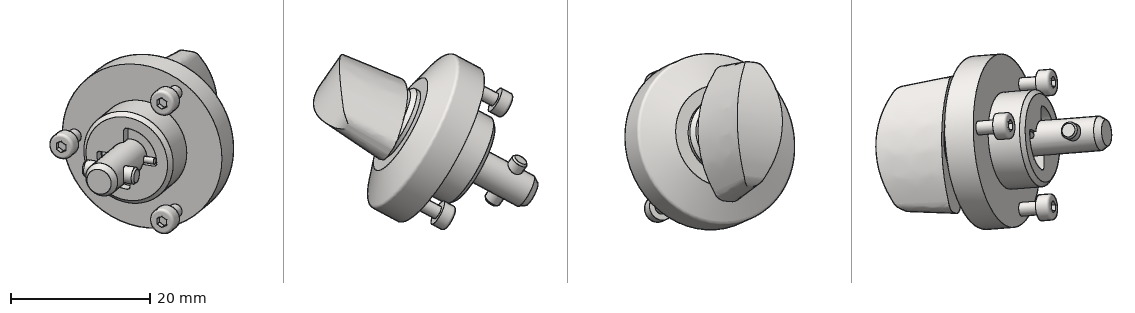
import cadquery as cq
import math


flange_radius = 25.0 / 2
flange_rim_length = 4.3
cone_small_radius = 7.5
cone_back_y = 6.5
cone_slope = 2.5
cone_edge_fillet = 0.52
collar_radius = 11.0 / 2
collar_back_y = 7.8
collar_chamfer_radial = 0.62
collar_chamfer_axial = 0.7
neck_radius = 6.1 / 2

boss_radius = 14.0 / 2
boss_length = 5.52
boss_chamfer = 0.62
pocket_radius = 4.7
pocket_overlap = 0.5
pocket_corner_radius = 0.5
pocket_depth = 1.52

shaft_radius = 5.0 / 2
shaft_tip_radius = 3.8 / 2
shaft_front_y = -15.52
shaft_tip_length = 0.95
pin_radius = 2.5 / 2
pin_half_length = 4.05
pin_y = -11.28
pin_chamfer_radial = 0.25
pin_chamfer_axial = 0.3

stop_pin_radius = 0.5
stop_pin_half_length = 4.05
stop_pin_y = pocket_depth / 2 - boss_length

screw_count = 3
screw_circle_radius = 10.52
shank_radius = 2.0 / 2
shank_length = 3.0
head_radius = 3.8 / 2
head_length = 2.0
head_fillet = 0.4
socket_flats = 1.5
socket_depth = 0.85

knob_base_y = 8.2
overall_length = 34.5
knob_top_y = shaft_front_y + overall_length
knob_half_width = 9.5 / 2
knob_half_height = 9.95
knob_edge_x = 2.17
knob_edge_z = 8.75
knob_end_flat = 0.5
knob_top_half_width = 3.6
knob_top_edge_x = 1.3
knob_top_edge_z = 8.2
knob_top_end_flat = 0.3
knob_draft_slope = math.tan(math.radians(6.1))
knob_dome_radius = 18.1
knob_dome_fillet = 2.0


def front_plane(y):
    """Plane at the given Y whose normal points to -Y, with local x along +X and local y along +Z."""
    return cq.Workplane(cq.Plane(origin=(0, y, 0), xDir=(1, 0, 0), normal=(0, -1, 0)))


def make_flange():
    cone_base_radius = cone_small_radius + cone_slope * (cone_back_y - flange_rim_length)
    corner_y = flange_rim_length + (cone_base_radius - flange_radius) / cone_slope
    outline = [
        (0, 0),
        (flange_radius, 0),
        (flange_radius, corner_y),
        (cone_small_radius, cone_back_y),
        (collar_radius, cone_back_y),
        (collar_radius, collar_back_y - collar_chamfer_axial),
        (collar_radius - collar_chamfer_radial, collar_back_y),
        (neck_radius, collar_back_y),
        (neck_radius, knob_base_y),
        (0, knob_base_y),
    ]
    flange = cq.Workplane("XY").polyline(outline).close().revolve(360, (0, 0, 0), (0, 1, 0))
    probe = 0.05
    rim_corner = cq.selectors.BoxSelector(
        (-2 * flange_radius, corner_y - probe, -2 * flange_radius),
        (2 * flange_radius, corner_y + probe, 2 * flange_radius),
        boundingbox=True,
    )
    return flange.edges(rim_corner).fillet(cone_edge_fillet)


def make_pocket():
    """Quarter-round pocket whose two straight sides pass just beyond the axis."""
    reach = math.sqrt(pocket_radius**2 - pocket_overlap**2)
    middle = pocket_radius * math.sqrt(0.5)
    return (
        front_plane(pocket_depth - boss_length)
        .moveTo(-pocket_overlap, -pocket_overlap)
        .lineTo(reach, -pocket_overlap)
        .threePointArc((middle, middle), (-pocket_overlap, reach))
        .close()
        .extrude(pocket_depth)
        .edges("|Y")
        .fillet(pocket_corner_radius)
    )


def make_boss():
    boss = front_plane(0).circle(boss_radius).extrude(boss_length).faces("<Y").chamfer(boss_chamfer)
    pocket = make_pocket()
    for angle in (0, 180):
        boss = boss.cut(pocket.rotate((0, 0, 0), (0, 1, 0), angle))
    return boss


def make_shaft():
    outline = [
        (0, 0),
        (shaft_radius, 0),
        (shaft_radius, shaft_front_y + shaft_tip_length),
        (shaft_tip_radius, shaft_front_y),
        (0, shaft_front_y),
    ]
    return cq.Workplane("XY").polyline(outline).close().revolve(360, (0, 0, 0), (0, 1, 0))


def make_cross_pin():
    end_radius = pin_radius - pin_chamfer_radial
    shoulder_x = pin_half_length - pin_chamfer_axial
    outline = [
        (-pin_half_length, 0),
        (-pin_half_length, end_radius),
        (-shoulder_x, pin_radius),
        (shoulder_x, pin_radius),
        (pin_half_length, end_radius),
        (pin_half_length, 0),
    ]
    pin = cq.Workplane("XY").polyline(outline).close().revolve(360, (0, 0, 0), (1, 0, 0))
    return pin.translate((0, pin_y, 0))


def make_stop_pin():
    return (
        cq.Workplane("YZ", origin=(-stop_pin_half_length, stop_pin_y, 0))
        .circle(stop_pin_radius)
        .extrude(2 * stop_pin_half_length)
    )


def make_screw():
    """Screw on the Y axis, its shank starting at the flange face."""
    head_front_y = -shank_length - head_length
    socket_corner_diameter = socket_flats / math.cos(math.pi / 6)
    shank = front_plane(0).circle(shank_radius).extrude(shank_length)
    head = front_plane(-shank_length).circle(head_radius).extrude(head_length)
    head = head.faces("<Y").edges().fillet(head_fillet)
    socket = (
        front_plane(head_front_y + socket_depth)
        .polygon(6, socket_corner_diameter)
        .extrude(socket_depth)
        .rotate((0, 0, 0), (0, 1, 0), 30)
    )
    return shank.union(head).cut(socket)


def make_screws():
    """Equally spaced screws, the first one at -X, all with their sockets turned alike."""
    screws = []
    for index in range(screw_count):
        angle = math.pi + index * 2 * math.pi / screw_count
        x = screw_circle_radius * math.cos(angle)
        z = screw_circle_radius * math.sin(angle)
        screws.append(make_screw().translate((x, 0, z)))
    return screws


def make_knob_section(y, half_width, half_height, edge_x, edge_z, end_flat):
    """Closed section at the given Y: two bowed sides joined by rounded ends with a narrow flat."""
    run = edge_x - end_flat
    drop = half_height - edge_z
    radius = (run**2 + drop**2) / (2 * drop)
    half_turn = math.asin(run / radius) / 2
    mid_x = end_flat + radius * math.sin(half_turn)
    mid_z = half_height - radius * (1 - math.cos(half_turn))
    return (
        cq.Workplane("XZ", origin=(0, y, 0))
        .moveTo(edge_x, -edge_z)
        .threePointArc((half_width, 0), (edge_x, edge_z))
        .threePointArc((mid_x, mid_z), (end_flat, half_height))
        .lineTo(-end_flat, half_height)
        .threePointArc((-mid_x, mid_z), (-edge_x, edge_z))
        .threePointArc((-half_width, 0), (-edge_x, -edge_z))
        .threePointArc((-mid_x, -mid_z), (-end_flat, -half_height))
        .lineTo(end_flat, -half_height)
        .threePointArc((mid_x, -mid_z), (edge_x, -edge_z))
        .close()
        .val()
    )


def make_knob_body():
    """Drafted body ruled between the base section and the smaller top section."""
    top_half_height = knob_half_height - knob_draft_slope * (knob_top_y - knob_base_y)
    base = make_knob_section(
        knob_base_y, knob_half_width, knob_half_height, knob_edge_x, knob_edge_z, knob_end_flat
    )
    top = make_knob_section(
        knob_top_y, knob_top_half_width, top_half_height, knob_top_edge_x, knob_top_edge_z, knob_top_end_flat
    )
    return cq.Workplane("XY").add(cq.Solid.makeLoft([base, top], True))


def make_knob_profile():
    """Side outline of the knob: drafted ends running through a rounding into a domed top."""
    centre_y = knob_top_y - knob_dome_radius
    offset = knob_half_height - knob_draft_slope * (centre_y - knob_base_y)
    a = 1 + knob_draft_slope**2
    b = -2 * knob_draft_slope * offset
    c = offset**2 - knob_dome_radius**2
    rise = (-b + math.sqrt(b**2 - 4 * a * c)) / (2 * a)
    corner_y = centre_y + rise
    corner_z = offset - knob_draft_slope * rise
    return (
        cq.Workplane("YZ", origin=(-knob_half_width, 0, 0))
        .moveTo(knob_base_y, -knob_half_height)
        .lineTo(corner_y, -corner_z)
        .threePointArc((knob_top_y, 0), (corner_y, corner_z))
        .lineTo(knob_base_y, knob_half_height)
        .close()
        .extrude(2 * knob_half_width)
        .edges("|X")
        .edges(">Y")
        .fillet(knob_dome_fillet)
    )


result = make_flange().union(make_boss()).union(make_shaft()).union(make_cross_pin())
result = result.union(make_stop_pin())
for screw in make_screws():
    result = result.union(screw)
result = result.union(make_knob_body().intersect(make_knob_profile()))